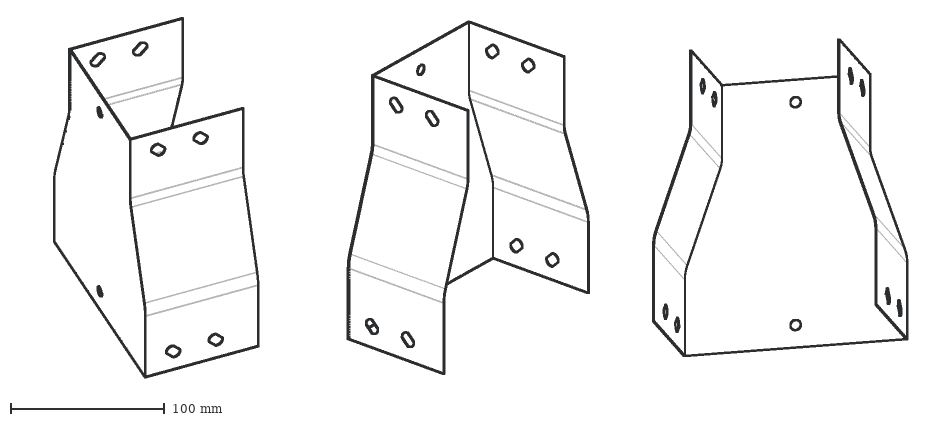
import cadquery as cq
import math

HEIGHT = 182.0
DEPTH = 80.0
BOTTOM_WIDTH = 150.0
TOP_WIDTH = 100.1
SHEET = 0.7

LOWER_BEND_Z = 56.6
UPPER_BEND_Z = 128.7
LOWER_BEND_RADIUS = 30.0
UPPER_BEND_RADIUS = 20.0

HOLE_DIAMETER = 7.0
SLOT_WIDTH = HOLE_DIAMETER
SLOT_STRAIGHT = 7.0
SLOT_LENGTH = 10.4
SLOT_ANGLE = 45.0
HOLE_EDGE_DISTANCE = 15.3
FRONT_SLOT_Y = 20.0
REAR_SLOT_Y = 50.0
REAR_SLOT_DROP = 0.7

HOLE_HEIGHTS = (HOLE_EDGE_DISTANCE, HEIGHT - HOLE_EDGE_DISTANCE)
TAPER_ANGLE = math.atan2((BOTTOM_WIDTH - TOP_WIDTH) / 2, UPPER_BEND_Z - LOWER_BEND_Z)


def tapered_block(inset, front_y):
    """Solid bounded by the bent walls, moved inward by inset, from front_y to the rear."""
    bottom_x = BOTTOM_WIDTH / 2 - inset
    top_x = TOP_WIDTH / 2 - inset
    bend_shift = inset * math.tan(TAPER_ANGLE / 2)
    lower_z = LOWER_BEND_Z - bend_shift
    upper_z = UPPER_BEND_Z - bend_shift
    right_side = [(bottom_x, 0), (bottom_x, lower_z), (top_x, upper_z), (top_x, HEIGHT)]
    left_side = [(-x, z) for x, z in reversed(right_side)]
    block = (
        cq.Workplane("XZ", origin=(0, front_y, 0))
        .polyline(right_side + left_side)
        .close()
        .extrude(front_y - DEPTH)
    )
    lower_edges = cq.selectors.BoxSelector(
        (-BOTTOM_WIDTH, -DEPTH, lower_z - 1.8), (BOTTOM_WIDTH, 2 * DEPTH, lower_z + 1.8)
    )
    upper_edges = cq.selectors.BoxSelector(
        (-BOTTOM_WIDTH, -DEPTH, upper_z - 1.8), (BOTTOM_WIDTH, 2 * DEPTH, upper_z + 1.8)
    )
    block = block.edges("|Y").edges(lower_edges).fillet(LOWER_BEND_RADIUS - inset)
    return block.edges("|Y").edges(upper_edges).fillet(UPPER_BEND_RADIUS + inset)


def front_holes():
    """Round holes on the centre line of the front sheet."""
    return (
        cq.Workplane("XZ")
        .pushPoints([(0, z) for z in HOLE_HEIGHTS])
        .circle(HOLE_DIAMETER / 2)
        .extrude(-2 * SHEET)
    )


def wall_slots(side, rear_drop):
    """Diagonal slots with shallow arc ends through one wall: side is -1 for -X and 1 for +X."""
    half_width = SLOT_WIDTH / 2
    half_straight = SLOT_STRAIGHT / 2
    half_length = SLOT_LENGTH / 2
    slot = (
        cq.Workplane("YZ")
        .moveTo(-half_straight, -half_width)
        .lineTo(half_straight, -half_width)
        .threePointArc((half_length, 0), (half_straight, half_width))
        .lineTo(-half_straight, half_width)
        .threePointArc((-half_length, 0), (-half_straight, -half_width))
        .close()
        .extrude(side * BOTTOM_WIDTH)
        .rotate((0, 0, 0), (1, 0, 0), -side * SLOT_ANGLE)
    )
    slots = cq.Workplane("YZ")
    for z in HOLE_HEIGHTS:
        slots = slots.add(slot.translate((0, FRONT_SLOT_Y, z)))
        slots = slots.add(slot.translate((0, REAR_SLOT_Y, z - rear_drop)))
    return slots.combine()


channel = tapered_block(0, 0).cut(tapered_block(SHEET, SHEET))
result = (
    channel.cut(front_holes())
    .cut(wall_slots(-1, REAR_SLOT_DROP))
    .cut(wall_slots(1, 0))
)